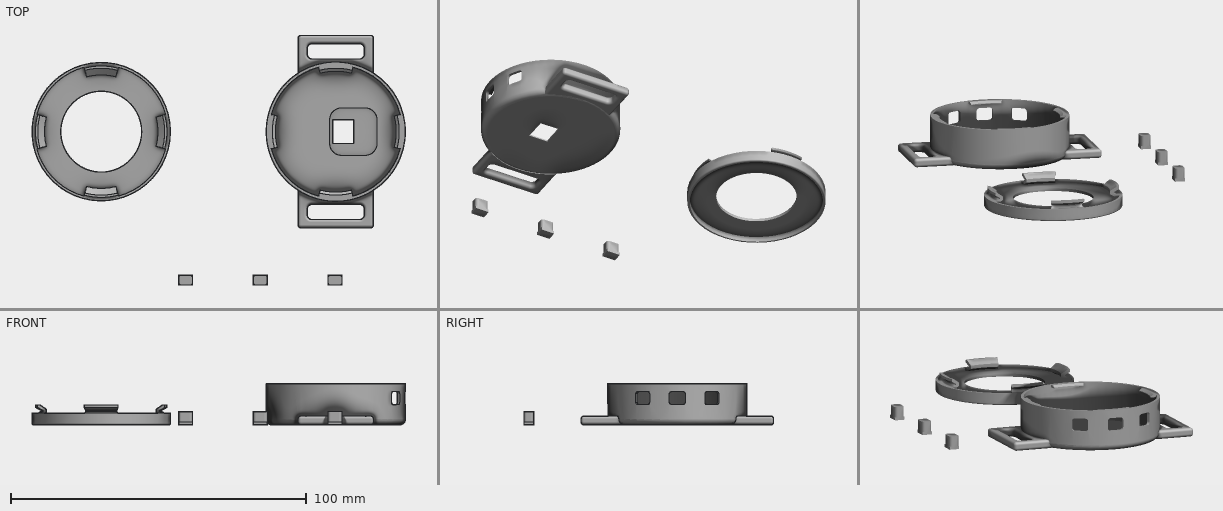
import cadquery as cq
HOUSING_R = 47.0 / 2
BORE_R = 45.0 / 2
HOUSING_HEIGHT = 14.0
HOUSING_FLOOR = 1.0
HOUSING_BOTTOM_FILLET = 2.0

RECESS_SIZE = 16.0
RECESS_CORNER_R = 4.0
RECESS_DEPTH = 0.5
RECESS_X = 5.9
WINDOW_LENGTH = 7.0
WINDOW_WIDTH = 8.0
WINDOW_X = 2.5

BUTTON_LENGTH = 4.8
BUTTON_WIDTH = 3.4
BUTTON_FOOT_HEIGHT = 1.0
BUTTON_CAP_HEIGHT = 3.5
BUTTON_CORNER_R = 1.0
BUTTON_COUNT = 3
BUTTON_PITCH = 25.2
LAST_BUTTON_X = -0.3
BUTTON_FRONT_Y = -51.9

OPENING_LENGTH = 5.5
OPENING_HEIGHT = 4.4
OPENING_CORNER_R = BUTTON_CORNER_R
OPENING_Z = 9.1
OPENING_ANGLES = (-30, 0, 30)

SNAP_SPAN = 30
SNAP_ANGLES = (0, 90, 180, 270)
SNAP_ROOT = 0.3

LIP_TOP_R = 21.5
LIP_TIP_R = 20.5
LIP_SLOPE_HEIGHT = 0.6
LIP_HEIGHT = 0.9

LUG_WIDTH = 25.5
LUG_HEIGHT = 3.0
LUG_END_Y = 32.5
LUG_FILLET = 1.0
SLOT_LENGTH = 19.2
SLOT_WIDTH = 5.0
SLOT_CORNER_R = 1.5
SLOT_Y = 27.1

LID_R = 46.8 / 2
LID_X = HOUSING_R + LID_R - 126.2
LID_HEIGHT = 4.0
LID_RECESS_R = BORE_R
LID_RECESS_DEPTH = 1.0
LID_WEB = 1.0
LID_HOLE_R = 27.3 / 2
LID_BOTTOM_FILLET = 0.5

HOOK_TIP_R = 22.2
HOOK_TOP_R = 21.5
HOOK_TOP_Z = 6.8
HOOK_TIP_Z = 5.9
HOOK_FOLD_R = 19.2
HOOK_FOLD_TOP_Z = 5.3
HOOK_FOLD_BOTTOM_Z = 4.2
HOOK_BACK_R = 20.5
HOOK_BACK_TOP_Z = 4.9
HOOK_BACK_BOTTOM_Z = 4.5
HOOK_BASE_R = 21.3


def about_z(body, angle):
    return body.rotate((0, 0, 0), (0, 0, 1), angle)


def disc(radius, bottom_z, height):
    return cq.Workplane("XY", origin=(0, 0, bottom_z)).circle(radius).extrude(height)


def snap_sector(profile_points):
    """Revolve a closed (radius, z) profile about Z over the snap span, centred on +X."""
    sector = cq.Workplane("XZ").polyline(profile_points).close().revolve(SNAP_SPAN, (0, 0, 0), (0, 1, 0))
    return about_z(sector, -SNAP_SPAN / 2)


def make_strap_slot():
    return (
        cq.Workplane("XY", origin=(0, SLOT_Y, 0))
        .rect(SLOT_LENGTH, SLOT_WIDTH)
        .extrude(LUG_HEIGHT)
        .edges("|Z")
        .fillet(SLOT_CORNER_R)
    )


def make_lug():
    """Slotted plate on the +Y side that passes through the wall and ends flush with the bore."""
    plate = (
        cq.Workplane("XY")
        .box(LUG_WIDTH, LUG_END_Y, LUG_HEIGHT, centered=(True, False, False))
        .edges("not <Y")
        .fillet(LUG_FILLET)
    )
    margin = LUG_FILLET / 4
    around_slot = cq.selectors.BoxSelector(
        (-SLOT_LENGTH / 2 - margin, SLOT_Y - SLOT_WIDTH / 2 - margin, -margin),
        (SLOT_LENGTH / 2 + margin, SLOT_Y + SLOT_WIDTH / 2 + margin, LUG_HEIGHT + margin),
        boundingbox=True,
    )
    slotted = plate.cut(make_strap_slot()).edges(around_slot).edges("not |Z").fillet(LUG_FILLET)
    return slotted.cut(disc(BORE_R, 0, LUG_HEIGHT))


def make_shell():
    shell = disc(HOUSING_R, 0, HOUSING_HEIGHT).edges("<Z").fillet(HOUSING_BOTTOM_FILLET)
    return shell.cut(disc(BORE_R, HOUSING_FLOOR, HOUSING_HEIGHT))


def make_floor_cutout():
    """The square recess together with the window below it."""
    recess = (
        cq.Workplane("XY", origin=(RECESS_X, 0, HOUSING_FLOOR - RECESS_DEPTH))
        .rect(RECESS_SIZE, RECESS_SIZE)
        .extrude(RECESS_DEPTH)
        .edges("|Z")
        .fillet(RECESS_CORNER_R)
    )
    window = (
        cq.Workplane("XY", origin=(WINDOW_X, 0, 0))
        .rect(WINDOW_LENGTH, WINDOW_WIDTH)
        .extrude(HOUSING_FLOOR)
    )
    return recess.union(window)


def make_button_opening():
    """Cutter through the wall on the +X side."""
    return (
        cq.Workplane("YZ", origin=(HOUSING_R / 2, 0, OPENING_Z))
        .rect(OPENING_LENGTH, OPENING_HEIGHT)
        .extrude(HOUSING_R)
        .edges("|X")
        .fillet(OPENING_CORNER_R)
    )


def make_lip():
    return snap_sector([
        (BORE_R + SNAP_ROOT, HOUSING_HEIGHT),
        (LIP_TOP_R, HOUSING_HEIGHT),
        (LIP_TIP_R, HOUSING_HEIGHT - LIP_SLOPE_HEIGHT),
        (LIP_TIP_R, HOUSING_HEIGHT - LIP_HEIGHT),
        (BORE_R + SNAP_ROOT, HOUSING_HEIGHT - LIP_HEIGHT),
    ])


def make_housing(strap_lugs):
    """Tray with lips and openings, and a matching pocket for each strap lug."""
    body = make_shell().cut(make_floor_cutout())
    for angle in SNAP_ANGLES:
        body = body.union(about_z(make_lip(), angle))
    for angle in OPENING_ANGLES:
        body = body.cut(about_z(make_button_opening(), angle))
    for lug in strap_lugs:
        body = body.cut(lug)
    return body


def make_hook():
    web_top = LID_HEIGHT - LID_RECESS_DEPTH
    return snap_sector([
        (HOOK_TIP_R, HOOK_TOP_Z),
        (HOOK_TOP_R, HOOK_TOP_Z),
        (HOOK_FOLD_R, HOOK_FOLD_TOP_Z),
        (HOOK_FOLD_R, HOOK_FOLD_BOTTOM_Z),
        (HOOK_BASE_R, web_top),
        (LID_RECESS_R + SNAP_ROOT, web_top),
        (LID_RECESS_R + SNAP_ROOT, LID_HEIGHT),
        (HOOK_BASE_R, LID_HEIGHT),
        (HOOK_BACK_R, HOOK_BACK_BOTTOM_Z),
        (HOOK_BACK_R, HOOK_BACK_TOP_Z),
        (HOOK_TIP_R, HOOK_TIP_Z),
    ])


def make_lid():
    """Rim with a web between a shallow upper recess and a deeper lower one."""
    web_top = LID_HEIGHT - LID_RECESS_DEPTH
    body = disc(LID_R, 0, LID_HEIGHT).edges("<Z").fillet(LID_BOTTOM_FILLET)
    body = body.cut(disc(LID_RECESS_R, web_top, LID_RECESS_DEPTH))
    body = body.cut(disc(LID_RECESS_R, 0, web_top - LID_WEB))
    body = body.cut(disc(LID_HOLE_R, 0, LID_HEIGHT))
    for angle in SNAP_ANGLES:
        body = body.union(about_z(make_hook(), angle))
    return body.translate((LID_X, 0, 0))


def button_block(x, bottom_z, height):
    return (
        cq.Workplane("XY", origin=(x, BUTTON_FRONT_Y + BUTTON_WIDTH / 2, bottom_z))
        .rect(BUTTON_LENGTH, BUTTON_WIDTH)
        .extrude(height)
    )


def make_button_foot(x):
    return button_block(x, 0, BUTTON_FOOT_HEIGHT)


def make_button_cap(x):
    return button_block(x, BUTTON_FOOT_HEIGHT, BUTTON_CAP_HEIGHT).edges("|Z").fillet(BUTTON_CORNER_R)


lugs = [about_z(make_lug(), angle) for angle in (0, 180)]
housing = make_housing(lugs)
lid = make_lid()
button_places = [LAST_BUTTON_X - i * BUTTON_PITCH for i in range(BUTTON_COUNT)]
button_feet = [make_button_foot(x) for x in button_places]
button_caps = [make_button_cap(x) for x in button_places]

bodies = [housing, lid, *lugs, *button_feet, *button_caps]
result = cq.Compound.makeCompound([body.val() for body in bodies])